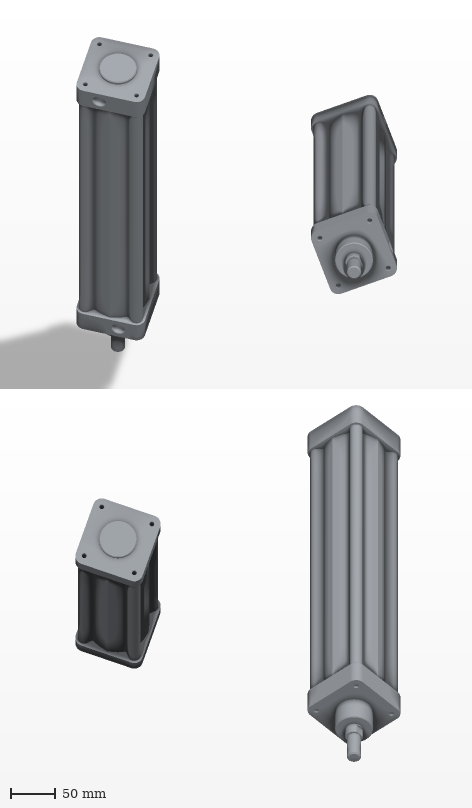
import cadquery as cq
import math


total_length = 511.0
rod_length = 44.5
neck_length = 27.5
cap_height = 27.5
boss_height = 3.5

neck_bottom = rod_length
front_cap_bottom = neck_bottom + neck_length
barrel_bottom = front_cap_bottom + cap_height
rear_cap_top = total_length - boss_height
rear_cap_bottom = rear_cap_top - cap_height
barrel_length = rear_cap_bottom - barrel_bottom

cap_width = 80.0
bolt_offset = 30.0
cap_corner_radius = cap_width / 2 - bolt_offset
bolt_hole_diameter = 5.0
bolt_mouth_diameter = 6.0
collar_diameter = 43.0
collar_chamfer = 1.0
port_diameter = 15.5
port_mouth_diameter = 16.5
port_offset = 11.0
port_depth = 15.5
mouth_angle = 90.0

ridge_height = 37.0
barrel_radius = 36.0
lobe_radius = 7.0
groove_radius = 2.5

rod_diameter = 20.0
wrench_length = 12.5
wrench_flat_width = 17.0
wrench_shoulder = 1.5
rod_chamfer = 0.5
undercut_diameter = 15.0
thread_diameter = 16.0
thread_length = 29.0
thread_chamfer = 1.5


def cap_block(bottom, outer_end, port_x):
    """Rounded square cap with four through bolt holes and a blind port.

    The bolt holes are chamfered at the outer end ("<Z" or ">Z"). The port enters
    the -Y side at half the cap's height.
    """
    block = (
        cq.Workplane("XY", origin=(0, 0, bottom))
        .rect(cap_width, cap_width)
        .extrude(cap_height)
        .edges("|Z")
        .fillet(cap_corner_radius)
    )
    block = (
        block.faces(outer_end)
        .workplane(centerOption="CenterOfMass")
        .rect(2 * bolt_offset, 2 * bolt_offset, forConstruction=True)
        .vertices()
        .cskHole(bolt_hole_diameter, bolt_mouth_diameter, mouth_angle)
    )
    return (
        block.faces("<Y")
        .workplane(centerOption="CenterOfMass")
        .pushPoints([(port_x, 0)])
        .cskHole(port_diameter, port_mouth_diameter, mouth_angle, depth=port_depth)
    )


def collar(bottom, height, free_end):
    """Round collar on a cap, chamfered at its free end ("<Z" or ">Z")."""
    disc = cq.Workplane("XY", origin=(0, 0, bottom)).circle(collar_diameter / 2).extrude(height)
    return disc.faces(free_end).chamfer(collar_chamfer)


def make_front_cap():
    block = cap_block(front_cap_bottom, "<Z", port_offset)
    return block.union(collar(neck_bottom, neck_length, "<Z"))


def make_rear_cap():
    block = cap_block(rear_cap_bottom, ">Z", -port_offset)
    return block.union(collar(rear_cap_top, boss_height, ">Z"))


def polar(radius, angle):
    """Point at an angle measured from +Y towards +X."""
    return (radius * math.sin(angle), radius * math.cos(angle))


def turned(point, quarter):
    """Turn a point clockwise about the axis by a number of quarter turns."""
    angle = -quarter * math.pi / 2
    x, y = point
    return (x * math.cos(angle) - y * math.sin(angle), x * math.sin(angle) + y * math.cos(angle))


def mirrored(point, quarter):
    """Reflect a point across the line x = y, then turn it."""
    x, y = point
    return turned((y, x), quarter)


def make_barrel():
    """Round barrel with a low ridge on each side and a lobe around each bolt.

    Each lobe joins the barrel along two 45 degree walls, which run into the
    barrel through a concave groove arc tangent to both.
    """
    ridge_angle = math.acos(barrel_radius / ridge_height)
    ridge = (0, ridge_height)
    ridge_end = polar(barrel_radius, ridge_angle)

    centre_distance = barrel_radius + groove_radius
    diagonal_offset = lobe_radius + groove_radius
    centre_angle = math.pi / 4 - math.asin(diagonal_offset / centre_distance)
    groove_x, groove_y = polar(centre_distance, centre_angle)
    half_diagonal = math.sqrt(0.5)
    groove_start = polar(barrel_radius, centre_angle)
    groove_end = (groove_x + groove_radius * half_diagonal, groove_y - groove_radius * half_diagonal)
    bottom_angle = (math.pi + centre_angle + math.pi * 3 / 4) / 2
    groove_dx, groove_dy = polar(groove_radius, bottom_angle)
    groove_middle = (groove_x + groove_dx, groove_y + groove_dy)

    barrel_middle = polar(barrel_radius, (ridge_angle + centre_angle) / 2)
    lobe_shift = lobe_radius * half_diagonal
    lobe_start = (bolt_offset - lobe_shift, bolt_offset + lobe_shift)
    lobe_middle = (bolt_offset + lobe_shift, bolt_offset + lobe_shift)

    outline = cq.Workplane("XY", origin=(0, 0, barrel_bottom)).moveTo(*ridge)
    for quarter in range(4):
        outline = (
            outline.lineTo(*turned(ridge_end, quarter))
            .threePointArc(turned(barrel_middle, quarter), turned(groove_start, quarter))
            .threePointArc(turned(groove_middle, quarter), turned(groove_end, quarter))
            .lineTo(*turned(lobe_start, quarter))
            .threePointArc(turned(lobe_middle, quarter), mirrored(lobe_start, quarter))
            .lineTo(*mirrored(groove_end, quarter))
            .threePointArc(mirrored(groove_middle, quarter), mirrored(groove_start, quarter))
            .threePointArc(mirrored(barrel_middle, quarter), mirrored(ridge_end, quarter))
            .lineTo(*mirrored(ridge, quarter))
        )
    return outline.close().extrude(barrel_length)


def make_rod():
    """Rod end with two wrench flats, an undercut and a plain stud in place of the thread."""
    wrench_bottom = neck_bottom - wrench_length
    shank = (
        cq.Workplane("XY", origin=(0, 0, wrench_bottom))
        .circle(rod_diameter / 2)
        .extrude(wrench_length)
        .faces("<Z")
        .chamfer(rod_chamfer)
    )
    flats = (
        cq.Workplane("XY", origin=(0, 0, wrench_bottom))
        .rect(rod_diameter, wrench_flat_width)
        .extrude(wrench_length - wrench_shoulder)
    )
    shoulder = (
        cq.Workplane("XY", origin=(0, 0, neck_bottom - wrench_shoulder))
        .circle(rod_diameter / 2)
        .extrude(wrench_shoulder)
    )
    undercut = (
        cq.Workplane("XY", origin=(0, 0, thread_length))
        .circle(undercut_diameter / 2)
        .extrude(wrench_bottom - thread_length)
    )
    thread = cq.Workplane("XY").circle(thread_diameter / 2).extrude(thread_length)
    thread = thread.faces("<Z").chamfer(thread_chamfer)
    return shank.intersect(flats).union(shoulder).union(undercut).union(thread)


front_cap = make_front_cap().solids()
rear_cap = make_rear_cap().solids()
barrel = make_barrel().solids()
rod = make_rod().solids()

result = cq.Compound.makeCompound([front_cap.val(), rear_cap.val(), barrel.val(), rod.val()])